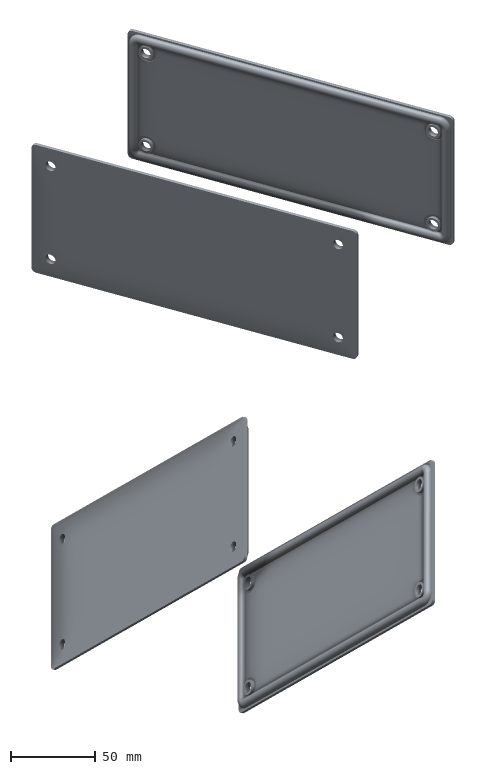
import cadquery as cq

length = 214.0
height = 92.0
overall_depth = 134.0

plate_thickness = 2.0
plate_corner_radius = 3.0

bead_radius = 3.0
bead_edge_gap = 1.25
bead_inset = bead_edge_gap + bead_radius
bead_corner_radius = 4.0
bead_length = length - 2 * bead_inset
bead_height = height - 2 * bead_inset

hole_diameter = 6.5
hole_inset = 12.5
hole_spacing_x = length - 2 * hole_inset
hole_spacing_z = height - 2 * hole_inset
boss_diameter = 9.5
boss_height = 1.5
recess_diameter = 12.75
recess_depth = 0.5

outer_face_y = -overall_depth / 2
inner_face_y = outer_face_y + plate_thickness
recess_floor_y = inner_face_y - recess_depth
boss_top_y = inner_face_y + boss_height


def plane_at(y):
    """Workplane parallel to XZ at the given Y; extrusions run towards +Y."""
    return cq.Workplane(cq.Plane(origin=(0, y, 0), xDir=(-1, 0, 0), normal=(0, 1, 0)))


def corner_cylinders(diameter, start_y, end_y):
    """Four cylinders along Y, one at each screw hole position."""
    centers = plane_at(start_y).rect(hole_spacing_x, hole_spacing_z, forConstruction=True).vertices()
    return centers.circle(diameter / 2).extrude(end_y - start_y)


def make_plate():
    plate = plane_at(outer_face_y).rect(length, height).extrude(plate_thickness)
    return plate.edges("|Y").fillet(plate_corner_radius)


def make_bead():
    """Round bar bent into a rounded rectangle, of which only the half above the inner face is kept."""
    core = plane_at(inner_face_y).rect(bead_length, bead_height).extrude(bead_radius)
    path = core.edges("|Y").fillet(bead_corner_radius).faces("<Y").wires()
    section = cq.Workplane("YZ", origin=(0, inner_face_y, bead_height / 2)).circle(bead_radius)
    bar = section.sweep(path)
    space_above_face = plane_at(inner_face_y).rect(length, height).extrude(bead_radius)
    return bar.intersect(space_above_face)


def make_front_cover():
    recesses = corner_cylinders(recess_diameter, recess_floor_y, inner_face_y)
    bosses = corner_cylinders(boss_diameter, recess_floor_y, boss_top_y)
    holes = corner_cylinders(hole_diameter, outer_face_y, boss_top_y)
    return make_plate().cut(recesses).union(make_bead()).union(bosses).cut(holes)


front_cover = make_front_cover()
rear_cover = front_cover.mirror("XZ")

result = cq.Compound.makeCompound([front_cover.solids().val(), rear_cover.solids().val()])